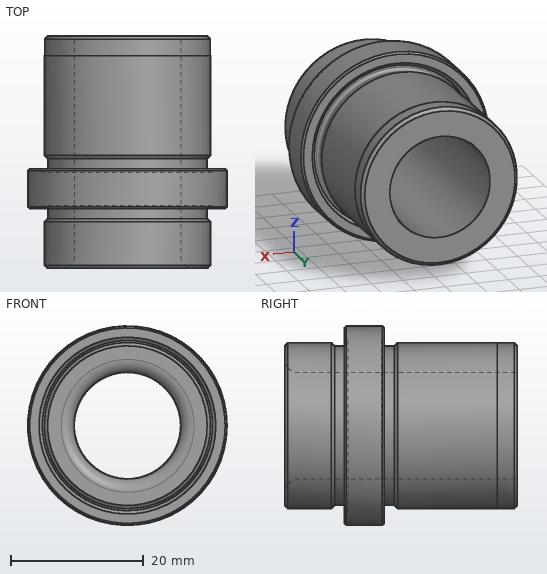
import cadquery as cq
import math


length = 35.0
body_radius = 12.5
bore_radius = 8.0
bore_mouth_fillet = 2.0
end_chamfer = 0.5

collar_radius = 15.0
collar_front = 9.0
collar_width = 6.0
collar_chamfer = 0.3

relief_width = 2.0
relief_depth = 0.5
relief_outer_radius = 13.3
relief_face_depth = 0.5
relief_corner_fillet = 0.5

lead_length = 3.0
lead_clearance = 0.01

collar_rear = collar_front + collar_width
collar_middle = collar_front + collar_width / 2
relief_floor_radius = body_radius - relief_depth
lead_radius = body_radius - lead_clearance

quarter_arc_inset = 1 - math.sqrt(0.5)


def cylinder(radius, y_start, y_end):
    """Solid cylinder about the Y axis between two Y positions."""
    disc = cq.Workplane("XZ", origin=(0, y_start, 0)).circle(radius)
    return disc.extrude(y_start - y_end)


def revolve_about_y(profile):
    """Full revolution of an XY profile (X is the radius) about the Y axis."""
    return profile.close().revolve(360, (0, 0, 0), (0, 1, 0))


def make_body():
    """Sleeve body with its stepped-down lead-in land and chamfered ends."""
    body = cylinder(body_radius, 0, length - lead_length)
    lead = cylinder(lead_radius, length - lead_length, length)
    return body.union(lead).faces("<Y or >Y").edges().chamfer(end_chamfer)


def make_collar():
    """Collar with both outer edges chamfered."""
    collar = cylinder(collar_radius, collar_front, collar_rear)
    return collar.edges().chamfer(collar_chamfer)


def make_front_relief():
    """Ring cutter for the relief at the front collar face.

    It has 45 degree flanks on the body and on the collar face, and a
    rounded corner where the relief floors meet.
    """
    body_edge = collar_front - relief_width
    face_floor = collar_front + relief_face_depth
    fillet_end_radius = relief_floor_radius + relief_corner_fillet
    fillet_start_y = face_floor - relief_corner_fillet
    arc_inset = relief_corner_fillet * quarter_arc_inset
    profile = (
        cq.Workplane("XY")
        .moveTo(body_radius, body_edge)
        .lineTo(relief_floor_radius, body_edge + relief_depth)
        .lineTo(relief_floor_radius, fillet_start_y)
        .threePointArc(
            (relief_floor_radius + arc_inset, face_floor - arc_inset),
            (fillet_end_radius, face_floor),
        )
        .lineTo(relief_outer_radius - relief_face_depth, face_floor)
        .lineTo(relief_outer_radius, collar_front)
        .lineTo(relief_outer_radius, body_edge)
    )
    return revolve_about_y(profile)


def make_bore():
    """Through bore with a rounded front mouth."""
    mouth_radius = bore_radius + bore_mouth_fillet
    arc_inset = bore_mouth_fillet * quarter_arc_inset
    profile = (
        cq.Workplane("XY")
        .lineTo(mouth_radius, 0)
        .threePointArc((bore_radius + arc_inset, arc_inset), (bore_radius, bore_mouth_fillet))
        .lineTo(bore_radius, length)
        .lineTo(0, length)
    )
    return revolve_about_y(profile)


front_relief = make_front_relief()
rear_relief = front_relief.mirror("XZ", (0, collar_middle, 0))

result = make_body().union(make_collar())
result = result.cut(front_relief).cut(rear_relief).cut(make_bore())